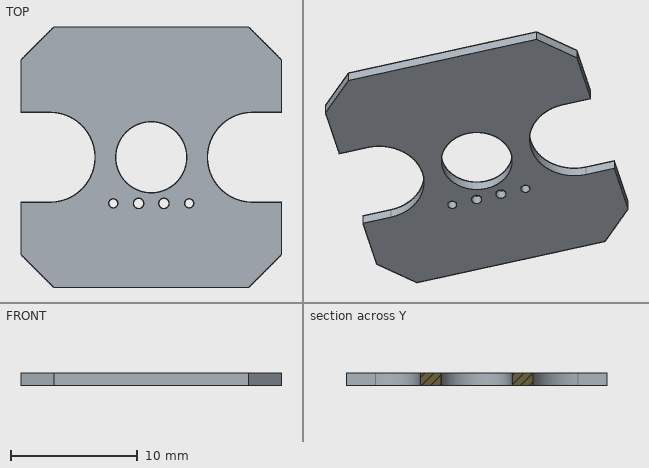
import cadquery as cq

side = 20.6
thickness = 1.0
corner_chamfer = 2.6

notch_width = 7.09
notch_gap = 8.9

bore_diameter = 5.6
row_y = -3.65
hole_pitch = 2.0
inner_hole_diameter = 0.8
outer_hole_diameter = 0.7


def make_plate():
    """Square plate with its four corners cut off, standing on Z = 0."""
    plate = cq.Workplane("XY").box(side, side, thickness, centered=(True, True, False))
    return plate.edges("|Z").chamfer(corner_chamfer)


def make_notch(direction):
    """Cutter open at one side; direction is -1 for -X and +1 for +X."""
    radius = notch_width / 2
    tip_x = direction * notch_gap / 2
    arc_center_x = tip_x + direction * radius
    edge_x = direction * side / 2
    return (
        cq.Workplane("XY")
        .moveTo(edge_x, radius)
        .lineTo(arc_center_x, radius)
        .threePointArc((tip_x, 0), (arc_center_x, -radius))
        .lineTo(edge_x, -radius)
        .close()
        .extrude(thickness)
    )


def make_hole_pair(spacing, diameter):
    """Two round cutters placed symmetrically about X = 0 on the hole row."""
    centers = [(-spacing / 2, row_y), (spacing / 2, row_y)]
    return cq.Workplane("XY").pushPoints(centers).circle(diameter / 2).extrude(thickness)


result = make_plate()
for direction in (-1, 1):
    result = result.cut(make_notch(direction))
result = result.cut(cq.Workplane("XY").circle(bore_diameter / 2).extrude(thickness))
result = result.cut(make_hole_pair(hole_pitch, inner_hole_diameter))
result = result.cut(make_hole_pair(3 * hole_pitch, outer_hole_diameter))